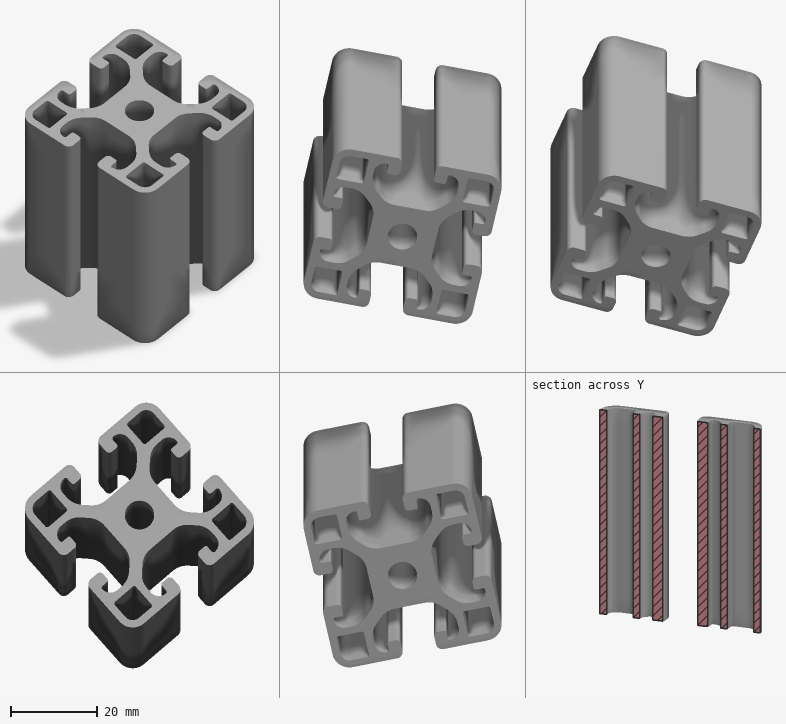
import cadquery as cq
import math

side = 40.0
length = 50.0
half_side = side / 2
outer_corner_radius = 4.0
bore_diameter = 6.8

slot_opening_half_width = 4.0
lip_width = 3.0
lip_depth = 4.5
cavity_roof = 18.0
cavity_half_width = 10.0
floor_height = 7.75
web_thickness = 3.0

lip_inner_face = slot_opening_half_width + lip_width
lip_end = half_side - lip_depth
web_offset = web_thickness / math.sqrt(2)

lip_outer_radius = 1.5
lip_end_radius = 1.0
lip_inner_radius = 0.5
cavity_notch_radius = 0.5
cavity_roof_radius = 2.45
cavity_bend_radius = 5.0

wall = 1.75
chamber_inner = cavity_half_width + wall
chamber_outer = half_side - wall
chamber_outer_radius = outer_corner_radius - wall
chamber_small_radius = 0.55

position_tolerance = 0.005

slot_corners = [
    (slot_opening_half_width, half_side, lip_outer_radius),
    (slot_opening_half_width, lip_end, lip_end_radius),
    (lip_inner_face, lip_end, lip_inner_radius),
    (lip_inner_face, cavity_roof, cavity_notch_radius),
    (cavity_half_width, cavity_roof, cavity_roof_radius),
    (cavity_half_width, cavity_half_width + web_offset, cavity_bend_radius),
    (floor_height - web_offset, floor_height, cavity_bend_radius),
]


def mirrored_positions(x, y):
    """All positions equivalent to (x, y) under the symmetry of the square profile."""
    return {(sx * u, sy * v) for u, v in ((x, y), (y, x)) for sx in (1, -1) for sy in (1, -1)}


def round_corners(body, x, y, radius):
    """Round the lengthwise edges at (x, y) and at every equivalent position."""
    positions = mirrored_positions(x, y)

    def at_position(edge):
        center = edge.Center()
        return any(math.dist((center.x, center.y), position) < position_tolerance for position in positions)

    return body.edges("|Z").filter(at_position).fillet(radius)


def slot_cutter():
    """Sharp-cornered slot opening towards +Y."""
    right = [(x, y) for x, y, _ in slot_corners]
    left = [(-x, y) for x, y in reversed(right)]
    return cq.Workplane("XY").polyline(right + left).close().extrude(length)


def chamber_cutter():
    """Hollow chamber of the +X +Y corner."""
    size = chamber_outer - chamber_inner
    center = (chamber_inner + chamber_outer) / 2
    chamber = (
        cq.Workplane("XY")
        .rect(size, size)
        .extrude(length)
        .translate((center, center, 0))
    )
    chamber = round_corners(chamber, chamber_outer, chamber_outer, chamber_outer_radius)
    chamber = round_corners(chamber, chamber_inner, chamber_inner, chamber_small_radius)
    return round_corners(chamber, chamber_inner, chamber_outer, chamber_small_radius)


profile = cq.Workplane("XY").rect(side, side).circle(bore_diameter / 2).extrude(length)

for quarter in range(4):
    for cutter in (slot_cutter(), chamber_cutter()):
        profile = profile.cut(cutter.rotate((0, 0, 0), (0, 0, 1), 90 * quarter))

profile = round_corners(profile, half_side, half_side, outer_corner_radius)
for corner_x, corner_y, corner_radius in slot_corners:
    profile = round_corners(profile, corner_x, corner_y, corner_radius)

result = profile